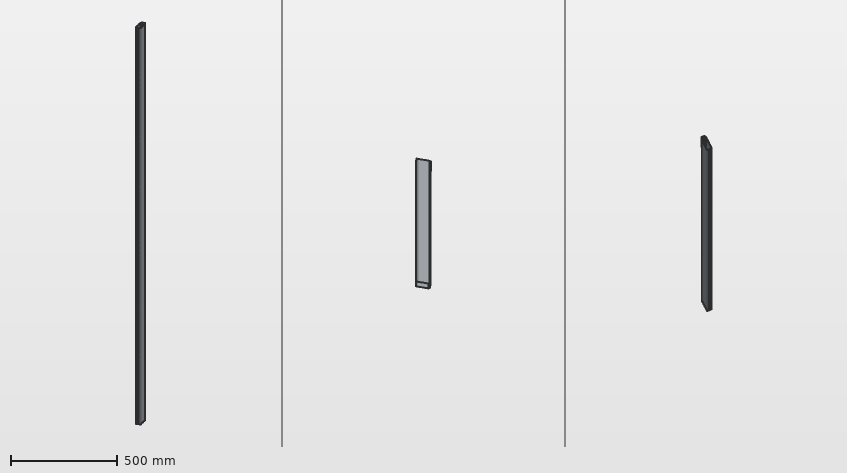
import cadquery as cq
import math

length = 2000.0
width = 25.0
wall = 1.5
first_lean = 30.0
second_lean = 2 * first_lean
shoulder_height = 61.1
fold_height = 68.0
mouth_height = 70.0
floor_outer_radius = 1.0
floor_inner_radius = 5.0

slot_pitch = 25.0
slot_length = 18.0
slot_width = 6.0

cover_length = 100.0
cover_plate = 3.0
cover_width = 22.0
cover_edge_height = 64.8
cover_chamfer = 4.5

cover_height = mouth_height + cover_plate
half_width = width / 2


def fold_half_width(height):
    """Outer half width of the duct on its first lean."""
    return half_width - (height - shoulder_height) * math.tan(math.radians(first_lean))


fold_x = fold_half_width(fold_height)
mouth_x = fold_x - (mouth_height - fold_height) * math.tan(math.radians(second_lean))


def moved_in(point, distance, angle):
    """The point moved by `distance` against the direction at `angle` above +X."""
    angle = math.radians(angle)
    return (point[0] - distance * math.cos(angle), point[1] - distance * math.sin(angle))


def mirrored(right_half):
    """A closed outline from its right half, listed from bottom to top."""
    left_half = [(-x, y) for x, y in reversed(right_half)]
    return right_half + left_half


def prism(right_half, start, height):
    outline = mirrored(right_half)
    return cq.Workplane("XY", origin=(0, 0, start)).polyline(outline).close().extrude(height)


def build_duct():
    shoulder = (half_width, shoulder_height)
    fold = (fold_x, fold_height)
    mouth = (mouth_x, mouth_height)
    outer = prism([(half_width, 0), shoulder, fold, mouth], 0, length)
    outer = outer.edges("|Z and <Y").fillet(floor_outer_radius)

    miter = wall / math.cos(math.radians(first_lean / 2))
    inner_mouth = moved_in(mouth, wall, second_lean)
    inner_half = [
        (half_width - wall, wall),
        moved_in(shoulder, miter, first_lean / 2),
        moved_in(fold, miter, (first_lean + second_lean) / 2),
        inner_mouth,
        (inner_mouth[0], mouth_height),
    ]
    inner = prism(inner_half, 0, length).edges("|Z and <Y").fillet(floor_inner_radius)
    return outer.cut(inner).cut(floor_slots())


def floor_slots():
    slot_count = round(length / slot_pitch)
    return (
        cq.Workplane("XZ")
        .center(0, length / 2)
        .rarray(1, slot_pitch, 1, slot_count)
        .slot2D(slot_length, slot_width, 90)
        .extrude(-wall)
    )


def build_cover():
    start = length - cover_length
    block_height = cover_height - cover_edge_height
    block = (
        cq.Workplane("XY", origin=(0, 0, start))
        .center(0, cover_edge_height + block_height / 2)
        .rect(cover_width, block_height)
        .extrude(cover_length)
        .edges("|Z and >Y")
        .chamfer(cover_chamfer)
    )
    seat_half = [
        (fold_half_width(cover_edge_height), cover_edge_height),
        (fold_x, fold_height),
        (mouth_x, mouth_height),
    ]
    return block.cut(prism(seat_half, start, cover_length))


duct = build_duct()
cover = build_cover()
result = cq.Compound.makeCompound([duct.val(), cover.val()])